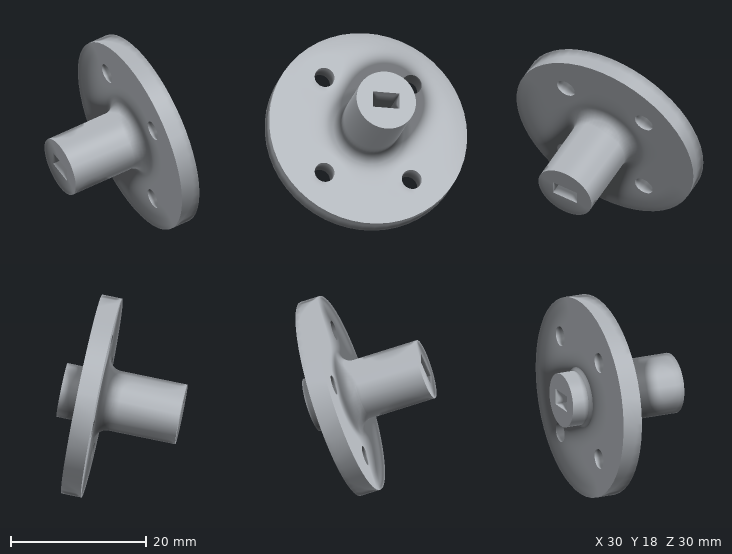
import cadquery as cq

flange_diameter = 30
flange_thickness = 3

hub_diameter = 9
hub_length = 12
hub_fillet = 2.0
spigot_diameter = 8.1
spigot_length = 3
spigot_taper = 0.48

slot_width = 4.05
slot_height = 2.4

hole_diameter = 3
hole_spacing_x = 13.2
hole_spacing_z = 15


def revolved_body():
    """Flange, hub and spigot, with a concave hub fillet and a 45 degree spigot taper."""
    flange_radius = flange_diameter / 2
    hub_radius = hub_diameter / 2
    spigot_radius = spigot_diameter / 2
    rear_face = flange_thickness
    profile = (
        cq.Workplane("XY")
        .moveTo(0, -hub_length)
        .lineTo(hub_radius, -hub_length)
        .lineTo(hub_radius, -hub_fillet)
        .radiusArc((hub_radius + hub_fillet, 0), hub_fillet)
        .lineTo(flange_radius, 0)
        .lineTo(flange_radius, rear_face)
        .lineTo(spigot_radius + spigot_taper, rear_face)
        .lineTo(spigot_radius, rear_face + spigot_taper)
        .lineTo(spigot_radius, rear_face + spigot_length)
        .lineTo(0, rear_face + spigot_length)
        .close()
    )
    return profile.revolve(360, (0, 0, 0), (0, 1, 0))


def drive_slot():
    """Rectangular cutter spanning hub, flange and spigot."""
    total_length = hub_length + flange_thickness + spigot_length
    return (
        cq.Workplane("XZ", origin=(0, -hub_length, 0))
        .rect(slot_width, slot_height)
        .extrude(-total_length)
    )


def mounting_holes():
    """Four cylindrical cutters through the flange."""
    return (
        cq.Workplane("XZ")
        .rect(hole_spacing_x, hole_spacing_z, forConstruction=True)
        .vertices()
        .circle(hole_diameter / 2)
        .extrude(-flange_thickness)
    )


result = revolved_body().cut(drive_slot()).cut(mounting_holes())